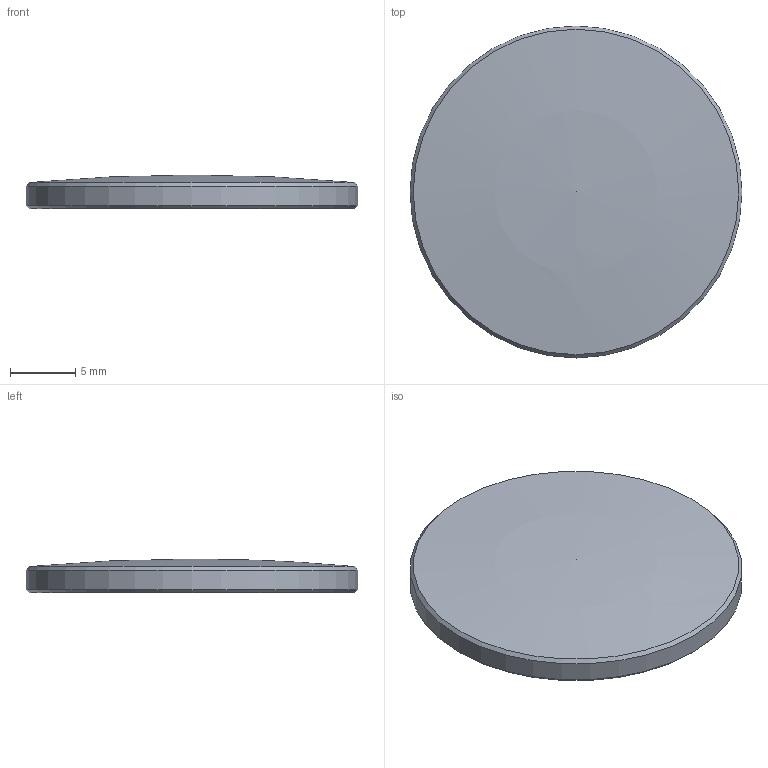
import cadquery as cq
import math

diameter = 25.4
centre_thickness = 2.59
edge_thickness = 2.0
bevel = 0.25

radius = diameter / 2
face_radius = radius - bevel
sagitta = centre_thickness - edge_thickness
sphere_radius = (radius**2 + sagitta**2) / (2 * sagitta)


def convex_face_z(distance):
    """Height of the convex face at a given distance from the optical axis."""
    drop = sphere_radius - math.sqrt(sphere_radius**2 - distance**2)
    return centre_thickness - drop


arc_mid_radius = face_radius / 2
half_section = (
    cq.Workplane("YZ")
    .moveTo(0, 0)
    .lineTo(-face_radius, 0)
    .lineTo(-radius, bevel)
    .lineTo(-radius, edge_thickness - bevel)
    .lineTo(-face_radius, convex_face_z(face_radius))
    .threePointArc((-arc_mid_radius, convex_face_z(arc_mid_radius)), (0, centre_thickness))
    .close()
)

result = half_section.revolve(360, (0, 0, 0), (0, 1, 0))